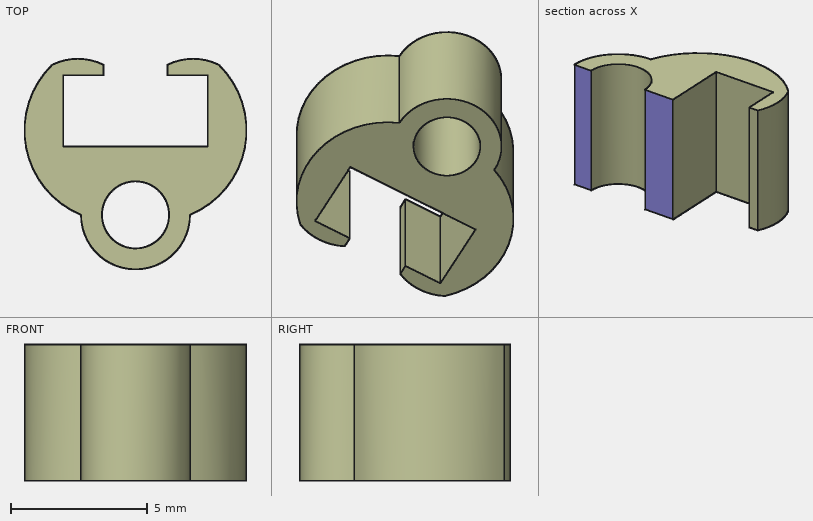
import cadquery as cq

width = 8.14
depth = 7.72
height = 5.0

boss_radius = 2.0
hole_diameter = 2.45

widest_y = 3.11

shoulder_x = 3.05
shoulder_y = 5.5
mouth_width = 2.34

slot_width = 5.28
slot_floor_y = 2.51
slot_depth = 2.6

half_width = width / 2
half_mouth = mouth_width / 2
top_y = depth - boss_radius
lip_crest_x = (shoulder_x + half_mouth) / 2


def make_body():
    """Solid clip profile, mirrored about the YZ plane, without the slot and hole."""
    return (
        cq.Workplane("XY")
        .moveTo(-boss_radius, 0)
        .threePointArc((0, -boss_radius), (boss_radius, 0))
        .threePointArc((half_width, widest_y), (shoulder_x, shoulder_y))
        .threePointArc((lip_crest_x, top_y), (half_mouth, shoulder_y))
        .lineTo(-half_mouth, shoulder_y)
        .threePointArc((-lip_crest_x, top_y), (-shoulder_x, shoulder_y))
        .threePointArc((-half_width, widest_y), (-boss_radius, 0))
        .close()
        .extrude(height)
    )


def make_slot():
    """T-shaped slot: a wide pocket with a narrower mouth open towards +Y."""
    pocket = (
        cq.Workplane("XY")
        .center(0, slot_floor_y + slot_depth / 2)
        .rect(slot_width, slot_depth)
        .extrude(height)
    )
    mouth_length = top_y - slot_floor_y
    mouth = (
        cq.Workplane("XY")
        .center(0, slot_floor_y + mouth_length / 2)
        .rect(mouth_width, mouth_length)
        .extrude(height)
    )
    return pocket.union(mouth)


def make_hole():
    """Through hole concentric with the boss."""
    return cq.Workplane("XY").circle(hole_diameter / 2).extrude(height)


result = make_body().cut(make_slot()).cut(make_hole())